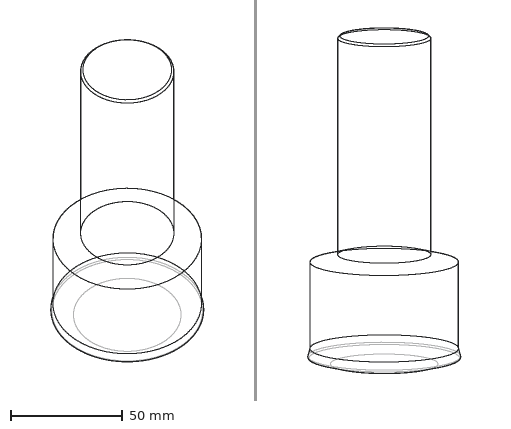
import cadquery as cq
import math

total_height = 150.0
cone_slope = math.tan(math.radians(15))

shank_radius = 21.0
shank_chamfer = 1.0
head_radius = 33.5
shoulder_top = 50.0
shoulder_bottom = shoulder_top - (head_radius - shank_radius) * cone_slope

cap_top = 7.0
cap_radius = 34.42
rim_fillet = 0.8
rim_centre_radius = cap_radius - rim_fillet
corner_offset = rim_fillet * math.sqrt(2) * math.cos(math.radians(30))
corner_radius = rim_centre_radius + corner_offset
corner_height = cap_top - (corner_radius - head_radius) / cone_slope
face_radius = corner_radius - corner_height / cone_slope


def revolve_about_z(profile):
    """Revolve a closed (radius, height) outline a full turn about Z."""
    return cq.Workplane("XZ").polyline(profile).close().revolve(360, (0, 0, 0), (0, 1, 0))


def make_plunger():
    """Chamfered shank, sloping shoulder and cylindrical head."""
    return revolve_about_z([
        (0, cap_top),
        (head_radius, cap_top),
        (head_radius, shoulder_bottom),
        (shank_radius, shoulder_top),
        (shank_radius, total_height - shank_chamfer),
        (shank_radius - shank_chamfer, total_height),
        (0, total_height),
    ])


def make_cap():
    """Disc that flares out from the head, rounds over its rim and tapers in to its flat face."""
    blank = revolve_about_z([
        (0, 0),
        (face_radius, 0),
        (corner_radius, corner_height),
        (head_radius, cap_top),
        (0, cap_top),
    ])
    rim = cq.selectors.RadiusNthSelector(-1)
    return blank.edges("%CIRCLE").edges(rim).fillet(rim_fillet)


plunger = make_plunger()
cap = make_cap()

result = cq.Compound.makeCompound([plunger.val(), cap.val()])